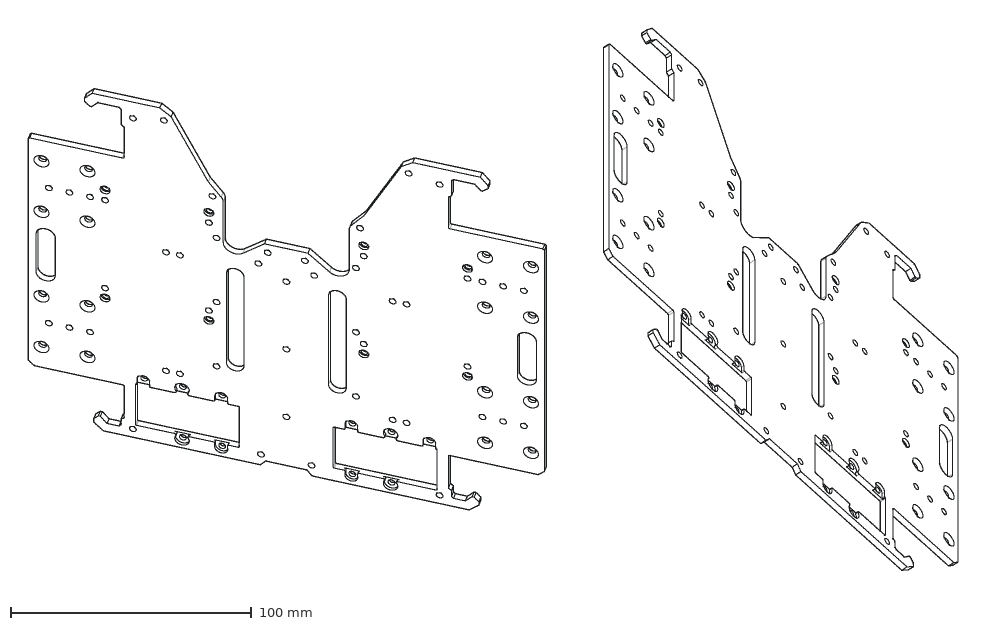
import cadquery as cq
import math

length = 224.0
height = 199.0
thickness = 3.0
half_length = length / 2
half_height = height / 2
front = cq.Workplane("XZ", origin=(0, -thickness / 2, 0))

panel_top = 65.0
panel_bottom = -69.7
panel_top_chamfer = 0.7
panel_bottom_chamfer = 2.7
neck_x = 70.3
neck_corner_radius = 0.7

hook_root_x = 71.7
hook_inner_z = 94.5
hook_root_chamfer = 1.0
lower_hook = [
    (79.3, -half_height),
    (83.5, -95.5),
    (83.5, -93.5),
    (81.5, -91.2),
    (80.6, -91.2),
    (77.7, -hook_inner_z),
    (hook_root_x + hook_root_chamfer, -hook_inner_z),
    (hook_root_x, -hook_inner_z + hook_root_chamfer),
    (hook_root_x, -90.0),
    (neck_x, -89.2),
]
upper_hook = [
    (neck_x, 83.3),
    (hook_root_x, 84.7),
    (hook_root_x, hook_inner_z - hook_root_chamfer),
    (hook_root_x + hook_root_chamfer, hook_inner_z),
    (81.8, hook_inner_z),
    (84.5, 91.5),
    (85.1, 91.5),
    (87.5, 93.6),
    (87.5, 95.5),
    (84.2, half_height),
]

arm_slope = [(54.9, half_height), (50.0, 95.6), (33.8, 61.8)]

notch_wall_x = 27.3
notch_radius = 5.2
notch_center_x = notch_wall_x - notch_radius
notch_center_z = 27.8
shoulder_bend_radius = 3.1
shoulder_bend_z = 52.2
center_tab_x = 9.5
center_tab_top = 32.3

recess_x = 9.0
recess_z = -96.5
recess_slope_x = 11.2

inner_slot = (notch_center_x, -46.8, 13.7, 7.6)
outer_slot = (104.4, -17.7, 13.0, 8.3)

window_inner_x = 20.4
window_outer_x = 65.5
window_bottom = -91.8
window_top = -67.6
window_corner_radius = 0.5

small_diameter = 3.0
screw_diameter = 3.4
countersink_diameter = 6.5
countersink_angle = 90
step_diameter = 4.3
step_depth = 1.3

seat_width = 5.5
seat_depth = 1.3
seat_mouth_radius = 0.5
round_seat_diameter = 6.3
round_seat_mouth = 5.0
round_seat_mouth_radius = 1.0
upper_seat_z = -64.5
lower_seat_z = -94.5
outer_seat_x = 62.0
middle_seat_x = 45.2
inner_seat_x = 28.2


def mirrored(points):
    """Return the points together with their mirror images about X = 0."""
    return points + [(-x, z) for x, z in points]


def grid(xs, zs):
    """Every (X, Z) pair of the given columns and rows."""
    return [(x, z) for x in xs for z in zs]


def at_points(body, points):
    """Select points on the front face of the body."""
    return body.copyWorkplane(front).pushPoints(points)


def notch_tangent_point():
    """Point where the sloped side of the center tab touches the notch arc."""
    dx = center_tab_x - notch_center_x
    dz = center_tab_top - notch_center_z
    angle = math.atan2(dz, dx) + math.acos(notch_radius / math.hypot(dx, dz))
    return (
        notch_center_x + notch_radius * math.cos(angle),
        notch_center_z + notch_radius * math.sin(angle),
    )


def plate():
    """Plain plate: the +X half is extruded, then joined to its mirror image."""
    bend_rise = shoulder_bend_radius * math.sqrt(0.5)
    bend_shift = shoulder_bend_radius * (1 - math.sqrt(0.5))
    notch_bottom = (notch_center_x, notch_center_z - notch_radius)
    half = (
        cq.Workplane("XZ")
        .moveTo(0, recess_z)
        .lineTo(recess_x, recess_z)
        .lineTo(recess_slope_x, -half_height)
        .polyline(lower_hook, includeCurrent=True)
        .lineTo(neck_x, panel_bottom - neck_corner_radius)
        .tangentArcPoint((neck_x + neck_corner_radius, panel_bottom), relative=False)
        .lineTo(half_length - panel_bottom_chamfer, panel_bottom)
        .lineTo(half_length, panel_bottom + panel_bottom_chamfer)
        .lineTo(half_length, panel_top - panel_top_chamfer)
        .lineTo(half_length - panel_top_chamfer, panel_top)
        .lineTo(neck_x + neck_corner_radius, panel_top)
        .tangentArcPoint((neck_x, panel_top + neck_corner_radius), relative=False)
        .polyline(upper_hook + arm_slope, includeCurrent=True)
        .lineTo(notch_wall_x + bend_shift, shoulder_bend_z + bend_rise)
        .tangentArcPoint((notch_wall_x, shoulder_bend_z), relative=False)
        .lineTo(notch_wall_x, notch_center_z)
        .threePointArc(notch_bottom, notch_tangent_point())
        .lineTo(center_tab_x, center_tab_top)
        .lineTo(0, center_tab_top)
        .close()
        .extrude(thickness / 2, both=True)
    )
    return half.union(half.mirror("YZ")).clean()


def slots(center_x, bottom, top, width):
    """Mirrored pair of vertical round-ended cutters."""
    return (
        cq.Workplane("XZ")
        .pushPoints(mirrored([(center_x, (bottom + top) / 2)]))
        .slot2D(top - bottom, width, 90)
        .extrude(thickness, both=True)
    )


def windows():
    """Mirrored pair of rectangular cutters with rounded corners."""
    center_x = (window_inner_x + window_outer_x) / 2
    center_z = (window_bottom + window_top) / 2
    return (
        cq.Workplane("XZ")
        .pushPoints(mirrored([(center_x, center_z)]))
        .rect(window_outer_x - window_inner_x, window_top - window_bottom)
        .extrude(thickness, both=True)
        .edges("|Y")
        .fillet(window_corner_radius)
    )


def seat(x, z, edge_z, round_diameter, mouth_width, mouth_radius):
    """Round pocket joined to the window edge at edge_z by a channel with rounded mouth corners."""
    inward = math.copysign(mouth_radius, z - edge_z)
    half_mouth = mouth_width / 2
    mid_arc = 1 - math.sqrt(0.5)
    channel = (
        front.moveTo(x - half_mouth, z)
        .lineTo(x - half_mouth, edge_z + inward)
        .tangentArcPoint((x - half_mouth - mouth_radius, edge_z), relative=False)
        .lineTo(x + half_mouth + mouth_radius, edge_z)
        .threePointArc(
            (x + half_mouth + mouth_radius * mid_arc, edge_z + inward * mid_arc),
            (x + half_mouth, edge_z + inward),
        )
        .lineTo(x + half_mouth, z)
        .close()
        .extrude(-seat_depth)
    )
    return channel.union(front.center(x, z).circle(round_diameter / 2).extrude(-seat_depth))


upper_seats = grid([inner_seat_x, outer_seat_x], [upper_seat_z])
lower_seats = grid([inner_seat_x], [lower_seat_z])
upper_round_seats = grid([middle_seat_x], [upper_seat_z])
lower_round_seats = grid([middle_seat_x], [lower_seat_z])
seat_holes = upper_seats + lower_seats + upper_round_seats + lower_round_seats

countersunk_holes = grid([86.2, 106.2], [52.6, 22.6, -27.5, -57.5])
stepped_holes = grid([33.5, 78.6], [43.7, -20.4])
center_holes = grid([0], [12.5, -27.5, -67.6])
small_holes = (
    grid([85.1, 94.0, 103.0], [37.6, -42.5])
    + grid([33.5, 78.6], [37.6, -14.5])
    + grid([46.1, 52.2], [14.5, -55.8])
    + grid([30.2], [29.5, -8.5, -46.5])
    + [(32.0, 53.8), (53.0, 92.5), (66.5, 89.8)]
    + [(8.0, 27.3), (12.0, 19.7)]
    + [(11.0, -93.2), (66.5, -94.5)]
)

body = plate().cut(slots(*inner_slot)).cut(slots(*outer_slot)).cut(windows())

for seats, edge_z in ((upper_seats, window_top), (lower_seats, window_bottom)):
    for x, z in mirrored(seats):
        body = body.cut(seat(x, z, edge_z, seat_width, seat_width, seat_mouth_radius))
for seats, edge_z in ((upper_round_seats, window_top), (lower_round_seats, window_bottom)):
    for x, z in mirrored(seats):
        body = body.cut(seat(x, z, edge_z, round_seat_diameter, round_seat_mouth, round_seat_mouth_radius))

body = at_points(body, mirrored(countersunk_holes)).cskHole(
    screw_diameter, countersink_diameter, countersink_angle
)
body = at_points(body, mirrored(stepped_holes)).cboreHole(small_diameter, step_diameter, step_depth)
plain_holes = center_holes + mirrored(small_holes + seat_holes)
result = at_points(body, plain_holes).hole(small_diameter)